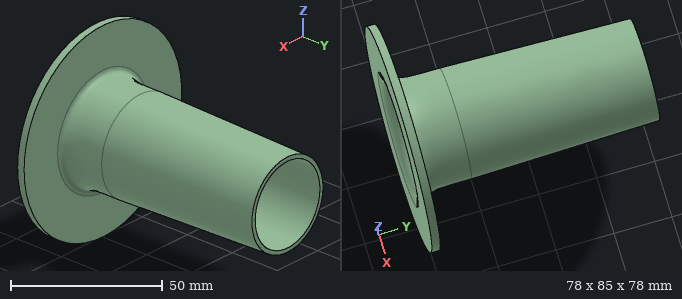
import cadquery as cq

length = 85.0
flange_radius = 39.0
flange_thickness = 3.0

tip_radius = 17.6
collar_radius = 19.1
collar_position = 19.55

outer_throat_radius = 19.55
throat_position = 6.4
outer_flare_radius = 22.4

bore_radius = 16.0
inner_throat_radius = 16.4
mouth_radius = 23.4

outer_flare_end = (outer_flare_radius, flange_thickness)
outer_throat = (outer_throat_radius, throat_position)
outer_collar = (collar_radius, collar_position)
inner_collar = (bore_radius, collar_position)
inner_throat = (inner_throat_radius, throat_position)
mouth = (mouth_radius, 0)

inward = (-1, 0)
outward = (1, 0)
toward_flange = (0, -1)
along_taper = (tip_radius - collar_radius, length - collar_position)

section = (
    cq.Workplane("XY")
    .moveTo(*mouth)
    .lineTo(flange_radius, 0)
    .lineTo(flange_radius, flange_thickness)
    .lineTo(*outer_flare_end)
    .spline([outer_throat, outer_collar], tangents=[inward, along_taper], includeCurrent=True)
    .lineTo(tip_radius, length)
    .lineTo(bore_radius, length)
    .lineTo(*inner_collar)
    .spline([inner_throat, mouth], tangents=[toward_flange, outward], includeCurrent=True)
    .close()
)
result = section.revolve(360, (0, 0, 0), (0, 1, 0))